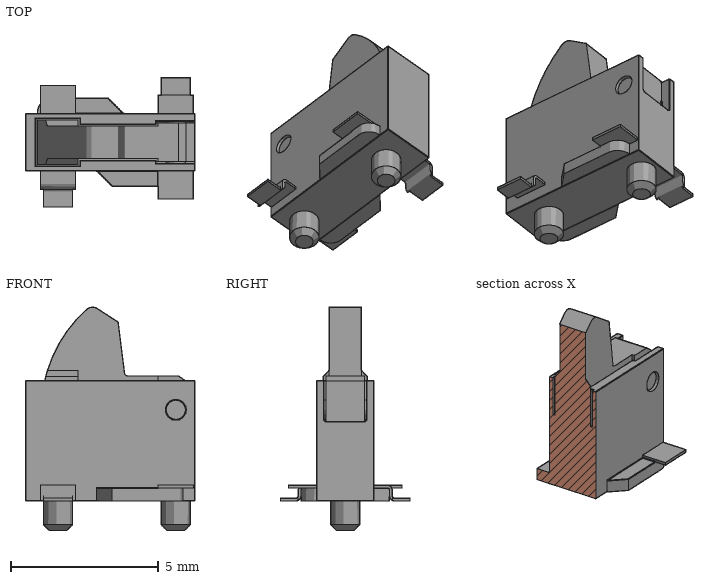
import cadquery as cq
import math

body_length = 5.75
body_width = 1.95
body_height = 4.1
edge_break = 0.02
half_length = body_length / 2
half_width = body_width / 2

station_pitch = 4.0
right_station = half_length - 0.65
left_station = right_station - station_pitch
peg_diameter = 1.0
peg_length = 1.0
peg_chamfer = 0.2

sheet = 0.1
terminal_width = 1.2
foot_width = 1.0
tab_top = 0.54
tab_reach = 1.93
foot_reach = 2.2
riser_face = 1.6
bend_inner = 0.08
bend_outer = bend_inner + sheet

block_height = tab_top - sheet
block_reach = 1.5
block_corner = 0.5
block_round_end = 2.475
block_slope_end = -0.46
block_slope_run = block_reach - half_width
tab_edge = right_station - terminal_width / 2

pivot_x = right_station
pivot_z = body_height - 1.0
pivot_hole_diameter = 0.7
pin_diameter = 0.65
pin_recess = 0.1

clearance = 0.06
shoulder_half = 0.75
blade_half = 0.55
heel_half = 0.655
lever_left = -2.47
shoulder_end = -1.09
heel_start = 1.615
slot_floor = pivot_z - 0.4

nose_radius = 4.56
apex_x = -0.625
apex_round = 0.3
crest_x = 0.27
crest_z = body_height + 1.98
crest_round = 0.05
root_x = 0.5
root_round = 0.1
heel_top = body_height + 0.155
heel_slope_start = 2.317
heel_end = 2.57
heel_end_top = body_height - 0.03
shoulder_side_top = body_height + 0.13
shoulder_top = body_height + 0.34


def box(x_range, y_range, z_range):
    (x0, x1), (y0, y1), (z0, z1) = x_range, y_range, z_range
    return cq.Workplane("XY").box(x1 - x0, y1 - y0, z1 - z0, centered=False).translate((x0, y0, z0))


def half_turn(shape):
    """Copy of a shape turned half a turn about the vertical axis of the housing."""
    return shape.rotate((0, 0, 0), (0, 0, 1), 180)


def pivot_cylinder(diameter, half_span):
    return (
        cq.Workplane("XZ", origin=(pivot_x, half_span, pivot_z))
        .circle(diameter / 2)
        .extrude(2 * half_span)
    )


def slot_section(x_range, lever_half):
    half = lever_half + clearance
    return box(x_range, (-half, half), (slot_floor, body_height))


def make_slot():
    """Open-ended lever slot; wedges along its floor narrow the heel section to the lever width."""
    shoulder = slot_section((lever_left - clearance, shoulder_end + clearance), shoulder_half)
    blade = slot_section((shoulder_end, heel_start), blade_half)
    heel_range = (heel_start - clearance, half_length)
    heel = slot_section(heel_range, heel_half)
    wedge = (
        cq.Workplane("YZ", origin=(heel_range[0], 0, 0))
        .moveTo(heel_half, slot_floor)
        .lineTo(heel_half + clearance, slot_floor)
        .lineTo(heel_half + clearance, slot_floor + clearance)
        .close()
        .extrude(heel_range[1] - heel_range[0])
    )
    heel = heel.cut(wedge).cut(wedge.mirror("XZ"))
    return shoulder.union(blade).union(heel)


def make_housing():
    body = box((-half_length, half_length), (-half_width, half_width), (0, body_height))
    body = body.cut(make_slot())
    outer_faces = body.faces("<X or >X or <Y or >Y or <Z or >Z")
    body = outer_faces.edges().chamfer(edge_break)
    return body.cut(pivot_cylinder(pivot_hole_diameter, half_width))


def nose_point(angle):
    return pivot_x + nose_radius * math.cos(angle), pivot_z + nose_radius * math.sin(angle)


def make_lever_outline(half):
    """Side outline of the lever, extruded to both sides; the nose is an arc about the pivot."""
    apex_angle = math.acos((apex_x - pivot_x) / nose_radius)
    base_angle = math.pi - math.asin((body_height - pivot_z) / nose_radius)
    lever = (
        cq.Workplane("XZ", origin=(0, half, 0))
        .moveTo(heel_end, slot_floor)
        .lineTo(heel_end, heel_end_top)
        .lineTo(heel_slope_start, heel_top)
        .lineTo(root_x, heel_top)
        .lineTo(crest_x, crest_z)
        .lineTo(*nose_point(apex_angle))
        .threePointArc(nose_point((apex_angle + base_angle) / 2), nose_point(base_angle))
        .tangentArcPoint((lever_left, slot_floor), relative=False)
        .close()
        .extrude(2 * half)
    )
    rounds = (
        (nose_point(apex_angle), apex_round),
        ((crest_x, crest_z), crest_round),
        ((root_x, heel_top), root_round),
    )
    for (x, z), radius in rounds:
        lever = lever.edges(cq.selectors.NearestToPointSelector((x, 0, z))).fillet(radius)
    return lever


def make_shoulder_envelope():
    """Bar whose upper long edges slope in from the shoulder width to the blade width."""
    return (
        cq.Workplane("YZ", origin=(lever_left, 0, 0))
        .moveTo(-shoulder_half, slot_floor)
        .lineTo(-shoulder_half, shoulder_side_top)
        .lineTo(-blade_half, shoulder_top)
        .lineTo(blade_half, shoulder_top)
        .lineTo(shoulder_half, shoulder_side_top)
        .lineTo(shoulder_half, slot_floor)
        .close()
        .extrude(shoulder_end - lever_left)
    )


def make_lever():
    blade = make_lever_outline(blade_half)
    shoulder = make_lever_outline(shoulder_half).intersect(make_shoulder_envelope())
    heel_envelope = box((heel_start, heel_end), (-heel_half, heel_half), (slot_floor, heel_top))
    heel = make_lever_outline(heel_half).intersect(heel_envelope)
    pin = pivot_cylinder(pin_diameter, half_width - pin_recess)
    return blade.union(shoulder).union(heel).union(pin)


def make_peg(x):
    return (
        cq.Workplane("XY", origin=(x, 0, 0))
        .circle(peg_diameter / 2)
        .extrude(-peg_length)
        .faces("<Z")
        .chamfer(peg_chamfer)
    )


def make_flat_terminal():
    """Straight tab on the -Y side at the right station."""
    return box((tab_edge, tab_edge + terminal_width), (-tab_reach, -half_width), (tab_top - sheet, tab_top))


def make_bent_terminal(x):
    """Terminal on the -Y side bent down to the seating plane and out into a narrower foot."""
    riser_back = riser_face - sheet
    quarter = math.sqrt(0.5)
    upper_y, upper_z = riser_face - bend_outer, tab_top - bend_outer
    lower_y, lower_z = riser_back + bend_outer, bend_outer
    inner_mid, outer_mid = bend_inner * quarter, bend_outer * quarter
    strip = (
        cq.Workplane("YZ", origin=(x - terminal_width / 2, 0, 0))
        .moveTo(-half_width, tab_top)
        .lineTo(-upper_y, tab_top)
        .threePointArc((-upper_y - outer_mid, upper_z + outer_mid), (-riser_face, upper_z))
        .lineTo(-riser_face, lower_z)
        .threePointArc((-lower_y + inner_mid, lower_z - inner_mid), (-lower_y, sheet))
        .lineTo(-foot_reach, sheet)
        .lineTo(-foot_reach, 0)
        .lineTo(-lower_y, 0)
        .threePointArc((-lower_y + outer_mid, lower_z - outer_mid), (-riser_back, lower_z))
        .lineTo(-riser_back, upper_z)
        .threePointArc((-upper_y - inner_mid, upper_z + inner_mid), (-upper_y, tab_top - sheet))
        .lineTo(-half_width, tab_top - sheet)
        .close()
        .extrude(terminal_width)
    )
    for side in (-1, 1):
        edges = sorted((x + side * foot_width / 2, x + side * terminal_width / 2))
        strip = strip.cut(box(edges, (-foot_reach, -riser_face), (0, tab_top)))
    return strip


def make_block_bead():
    """Small bevel where the top of a guide block meets the housing wall and the tab."""
    wall = -half_width
    wall_bead = (
        cq.Workplane("YZ", origin=(block_slope_end, 0, 0))
        .moveTo(wall, block_height)
        .lineTo(wall, block_height + edge_break)
        .lineTo(wall - edge_break, block_height)
        .close()
        .extrude(tab_edge - block_slope_end)
    )
    tab_bead = (
        cq.Workplane("XZ", origin=(0, wall, 0))
        .moveTo(tab_edge, block_height)
        .lineTo(tab_edge, block_height + edge_break)
        .lineTo(tab_edge - edge_break, block_height)
        .close()
        .extrude(block_reach - edge_break - half_width)
    )
    return wall_bead.union(tab_bead)


def make_guide_block():
    """Guide block on the -Y side: sloped at its left end, rounded at its right end under the tab."""
    quarter = block_corner * math.sqrt(0.5)
    round_x = block_round_end - block_corner
    round_y = block_reach - block_corner
    exposed = (
        cq.Workplane("XY")
        .moveTo(block_slope_end, -half_width)
        .lineTo(block_slope_end + block_slope_run, -block_reach)
        .lineTo(tab_edge, -block_reach)
        .lineTo(tab_edge, -half_width)
        .close()
        .extrude(block_height)
    )
    slope_middle = (block_slope_end + block_slope_run / 2, -(half_width + block_reach) / 2)
    front_middle = ((block_slope_end + block_slope_run + tab_edge) / 2, -block_reach)
    slope_edge = cq.selectors.NearestToPointSelector((*slope_middle, block_height))
    front_edge = cq.selectors.NearestToPointSelector((*front_middle, block_height))
    exposed = exposed.edges(slope_edge + front_edge).chamfer(edge_break)
    under_tab = (
        cq.Workplane("XY")
        .moveTo(tab_edge, -half_width)
        .lineTo(tab_edge, -block_reach)
        .lineTo(round_x, -block_reach)
        .threePointArc((round_x + quarter, -round_y - quarter), (block_round_end, -round_y))
        .lineTo(block_round_end, -half_width)
        .close()
        .extrude(block_height)
    )
    return exposed.union(under_tab).union(make_block_bead())


result = make_housing().union(make_lever())
for station in (left_station, right_station):
    result = result.union(make_peg(station))

flat_terminal = make_flat_terminal()
guide_block = make_guide_block()
left_flat_terminal = half_turn(flat_terminal).translate((left_station + right_station, 0, 0))
for side_part in (
    flat_terminal,
    left_flat_terminal,
    make_bent_terminal(left_station),
    half_turn(make_bent_terminal(-right_station)),
    guide_block,
    half_turn(guide_block),
):
    result = result.union(side_part)